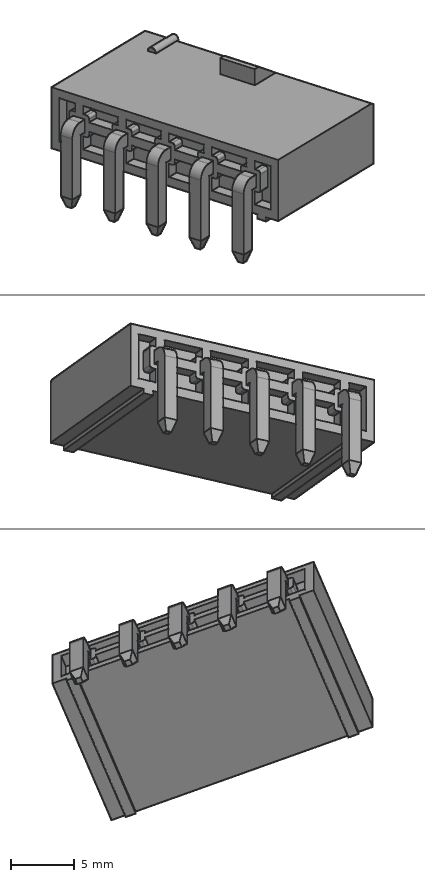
import cadquery as cq


housing_width = 22.2
housing_depth = 12.79
housing_height = 5.4

pin_count = 5
pin_pitch = 4.2
pin_thickness = 1.13
pin_height = 2.93
pin_positions = [(i - (pin_count - 1) / 2) * pin_pitch for i in range(pin_count)]
pin_reach = 1.69
pin_drop = 3.88
bend_radius = 1.05
tip_length = 0.98
tip_thickness = 0.49

wall = 0.75
floor_thickness = 0.8
recess_depth = 1.0

collar_size = 1.93
collar_radius = 0.25
web_width = 0.8
bar_height = 0.82

latch_width = 3.37
latch_length = 3.05
latch_height = 1.42
latch_land = 0.55
rib_width = web_width
rib_height = rib_width / 2

bevel_length = 0.22
ramp_slope = latch_height / (latch_length - latch_land - bevel_length)
bevel_drop = bevel_length * ramp_slope

rail_width = 0.87
rail_height = 0.38
rail_inset = 1.2


def block(x_min, x_max, y_min, y_max, z_min, z_max):
    """Box given by its limits along each axis."""
    corner = (x_min, y_min, z_min)
    box = cq.Workplane("XY").box(x_max - x_min, y_max - y_min, z_max - z_min, centered=False)
    return box.translate(corner)


def make_housing():
    """Solid block with the top mating edge bevelled."""
    profile = [
        (0, 0),
        (housing_depth, 0),
        (housing_depth, housing_height - bevel_drop),
        (housing_depth - bevel_length, housing_height),
        (0, housing_height),
    ]
    return cq.Workplane("YZ").polyline(profile).close().extrude(housing_width / 2, both=True)


def make_recess():
    """Pocket in the rear face, less the collars, webs and bar that carry the pins."""
    half_width = housing_width / 2 - wall
    ceiling = housing_height - wall
    recess = block(-half_width, half_width, 0, recess_depth, floor_thickness, ceiling)
    bar = block(
        pin_positions[0], pin_positions[-1],
        0, recess_depth,
        pin_height - bar_height / 2, pin_height + bar_height / 2,
    )
    recess = recess.cut(bar)
    for x in pin_positions:
        collar = block(
            x - collar_size / 2, x + collar_size / 2,
            0, recess_depth,
            pin_height - collar_size / 2, pin_height + collar_size / 2,
        ).edges("|Y").fillet(collar_radius)
        web = block(x - web_width / 2, x + web_width / 2, 0, recess_depth, floor_thickness, ceiling)
        recess = recess.cut(collar).cut(web)
    return recess


def make_latch():
    """Ramp rising from the mating edge to a flat land with an upright rear face."""
    rear = housing_depth - latch_length
    top = housing_height + latch_height
    profile = [
        (rear, housing_height - bevel_drop),
        (rear, top),
        (rear + latch_land, top),
        (housing_depth, housing_height - bevel_drop),
    ]
    return cq.Workplane("YZ").polyline(profile).close().extrude(latch_width / 2, both=True)


def make_polarity_rib():
    """Half-round rib above the first pin, ending level with the latch."""
    x = pin_positions[0]
    base = housing_height - bevel_drop
    return (
        cq.Workplane("XZ", origin=(0, housing_depth, 0))
        .moveTo(x - rib_width / 2, base)
        .lineTo(x - rib_width / 2, housing_height)
        .threePointArc((x, housing_height + rib_height), (x + rib_width / 2, housing_height))
        .lineTo(x + rib_width / 2, base)
        .close()
        .extrude(latch_length)
    )


def make_rail(side):
    """Standoff rail along the full depth; side is -1 or 1."""
    outer = housing_width / 2 - rail_inset
    x_min, x_max = sorted((side * outer, side * (outer - rail_width)))
    return block(x_min, x_max, 0, housing_depth, -rail_height, 0)


def make_pin(x):
    """Square pin leaving the rear face, bent down and tapered on all four sides at the tip."""
    top = pin_height + pin_thickness / 2
    underside = pin_height - pin_thickness / 2
    shank_end = tip_length - pin_drop
    leg_inner = pin_thickness - pin_reach
    bent_bar = (
        cq.Workplane("YZ", origin=(x, 0, 0))
        .moveTo(recess_depth, top)
        .lineTo(bend_radius - pin_reach, top)
        .radiusArc((-pin_reach, top - bend_radius), -bend_radius)
        .lineTo(-pin_reach, shank_end)
        .lineTo(leg_inner, shank_end)
        .lineTo(leg_inner, underside)
        .lineTo(recess_depth, underside)
        .close()
        .extrude(pin_thickness / 2, both=True)
    )
    tip = (
        cq.Workplane("XY", origin=(x, leg_inner - pin_thickness / 2, shank_end))
        .rect(pin_thickness, pin_thickness)
        .workplane(offset=-tip_length)
        .rect(tip_thickness, tip_thickness)
        .loft(ruled=True)
    )
    return bent_bar.union(tip)


result = make_housing().cut(make_recess()).union(make_latch()).union(make_polarity_rib())
for side in (-1, 1):
    result = result.union(make_rail(side))
for x in pin_positions:
    result = result.union(make_pin(x))